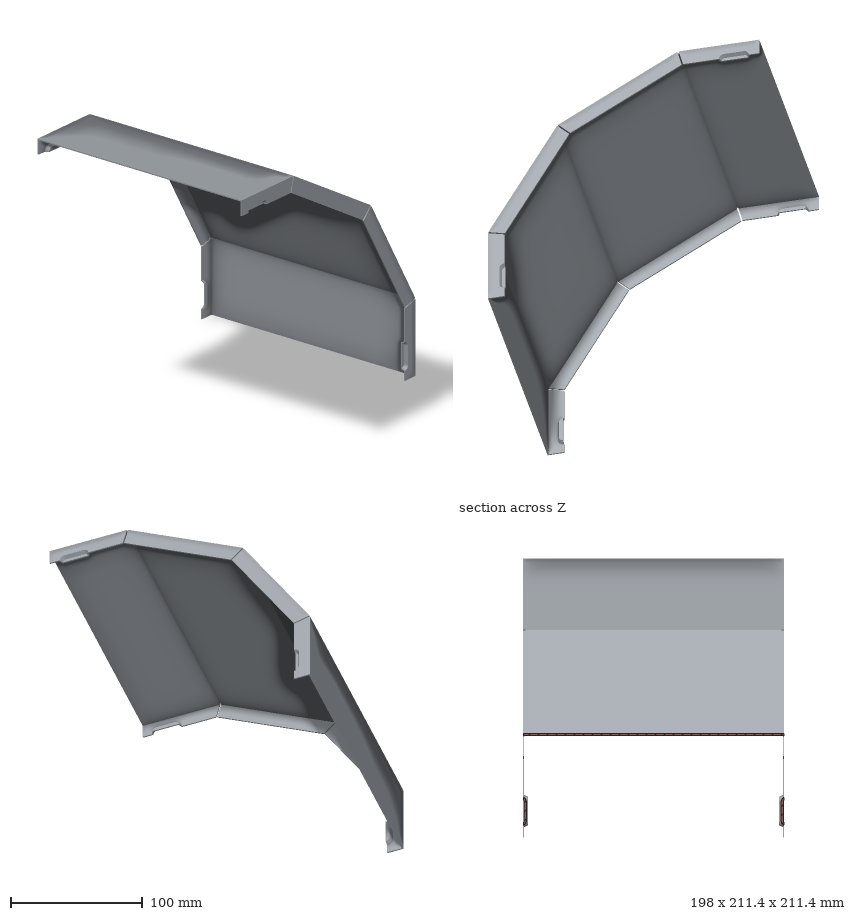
import cadquery as cq
import math

width = 198.0
span = 211.4
thickness = 1.01
flange_depth = 12.9
end_leg = 63.5
fold_angle = 30.0

slit_width = 1.0
slit_reach = 2.1

dent_length = 23.2
dent_rise = 4.0
dent_depth = 3 * thickness
dent_taper = 27.0
dent_from_end = 19.9

lean = math.radians(fold_angle)
middle_leg = (span - end_leg) / (math.cos(lean) + math.sin(lean))
half_width = width / 2
half_span = span / 2


def profile(inset):
    """Corner points (Y, Z) of the folded outline, moved inward by inset."""
    fold_shift = inset * math.tan(lean / 2)
    top_end = (-half_span, half_span - inset)
    top_fold = (-half_span + end_leg - fold_shift, half_span - inset)
    inner_leg = middle_leg - 2 * fold_shift
    middle_fold = (
        top_fold[0] + inner_leg * math.cos(lean),
        top_fold[1] - inner_leg * math.sin(lean),
    )
    low_fold = (half_span - inset, -half_span + end_leg - fold_shift)
    low_end = (half_span - inset, -half_span)
    return [top_end, top_fold, middle_fold, low_fold, low_end]


def folded_strip(inset, x_start, x_length):
    """Band between the outer outline and its inset copy, extruded along X."""
    outline = profile(0) + profile(inset)[::-1]
    return cq.Workplane("YZ").workplane(offset=x_start).polyline(outline).close().extrude(x_length)


def fold_slit(outer, inner, side):
    """Slot along the fold line from outer to inner corner, at one side."""
    angle = math.degrees(math.atan2(inner[1] - outer[1], inner[0] - outer[0]))
    length = 2 * (math.dist(outer, inner) + thickness)
    return (
        cq.Workplane("XY")
        .box(2 * slit_reach, length, slit_width)
        .rotate((0, 0, 0), (1, 0, 0), angle)
        .translate((side * half_width, inner[0], inner[1]))
    )


def dent_form(growth, depth):
    """Tapered stadium on the left flange, centred on the top end's free edge."""
    return (
        cq.Workplane("YZ")
        .workplane(offset=-half_width)
        .center(-half_span + dent_from_end, half_span - flange_depth)
        .slot2D(dent_length + 2 * growth, 2 * (dent_rise + growth))
        .extrude(depth, taper=dent_taper)
    )


def four_places(form):
    """The form, its copy on the low end, and both mirrored to the other side."""
    swapped = form.rotate((0, 0, 0), (0, 1, 1), 180)
    pair = form.union(swapped)
    return pair.union(pair.mirror("YZ"))


cover = folded_strip(thickness, -half_width, width)
for x_start in (-half_width, half_width - thickness):
    cover = cover.union(folded_strip(flange_depth, x_start, thickness))

wall_growth = thickness / math.cos(math.radians(dent_taper))
envelope = folded_strip(flange_depth, -half_width, width)
raised = four_places(dent_form(wall_growth, dent_depth + thickness)).intersect(envelope)
cover = cover.union(raised).cut(four_places(dent_form(0, dent_depth)))

for outer, inner in list(zip(profile(0), profile(flange_depth)))[1:-1]:
    for side in (-1, 1):
        cover = cover.cut(fold_slit(outer, inner, side))

result = cover